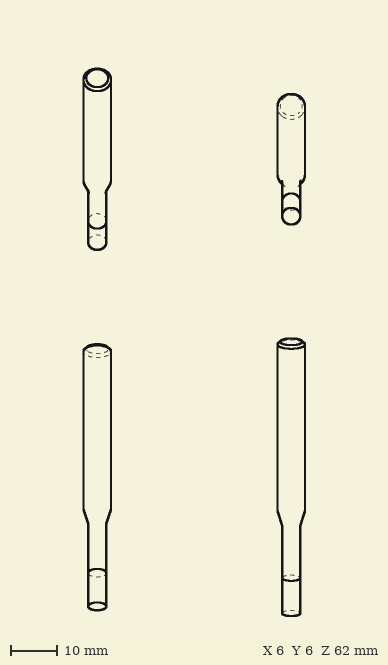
import cadquery as cq

total_length = 62.0
shank_diameter = 6.0
shank_chamfer = 0.6
tip_diameter = 3.95
tip_length = 8.05
neck_diameter = tip_diameter
taper_start = 19.95
taper_end = 23.45

shank_radius = shank_diameter / 2
tip_radius = tip_diameter / 2
neck_radius = neck_diameter / 2


def make_cutting_tip():
    """Plain cylinder standing on the XY plane."""
    return cq.Workplane("XY").circle(tip_radius).extrude(tip_length)


def make_shank():
    """Revolved neck, taper and chamfered shank, seated on top of the tip."""
    profile = (
        cq.Workplane("XZ")
        .moveTo(0, tip_length)
        .lineTo(neck_radius, tip_length)
        .lineTo(neck_radius, taper_start)
        .lineTo(shank_radius, taper_end)
        .lineTo(shank_radius, total_length - shank_chamfer)
        .lineTo(shank_radius - shank_chamfer, total_length)
        .lineTo(0, total_length)
        .close()
    )
    return profile.revolve(360, (0, 0), (0, 1))


cutting_tip = make_cutting_tip()
shank = make_shank()

result = cq.Compound.makeCompound([cutting_tip.val(), shank.val()])